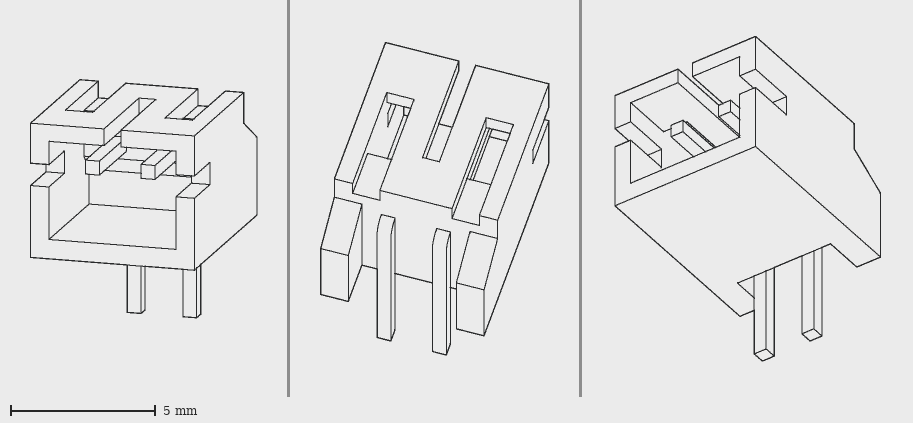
import cadquery as cq

width = 5.9
body_depth = 6.0
total_depth = 7.6
height = 4.805
total_height = 8.2

side_wall = 0.665
floor_thickness = 0.7
roof_thickness = 0.6
cavity_depth = 4.25
undercut_depth = 0.63
undercut_low_z = 1.94
cavity_half_width = width / 2 - side_wall

side_notch_depth = 1.89
side_notch_bottom = 2.575
side_notch_top = 3.37

center_slot_width = 0.61
roof_slot_width = 0.98
roof_slot_start = 2.0

ear_width = 1.0
ear_low_z = 2.79
ear_high_z = 3.7

pin_size = 0.5
pin_pitch = 2.0
pin_tip_y = 0.95
pin_length_below = total_height - height
pin_top_z = side_notch_top
pin_back_y = body_depth + pin_size


def block(x_min, x_max, y_min, y_max, z_min, z_max):
    """Axis-aligned box between two corners."""
    size = (x_max - x_min, y_max - y_min, z_max - z_min)
    return cq.Workplane("XY").box(*size, centered=False).translate((x_min, y_min, z_min))


def make_body():
    """Housing block with two sloped ears behind it."""
    body = block(-width / 2, width / 2, 0, body_depth, 0, height)
    ear = (
        cq.Workplane("YZ")
        .moveTo(body_depth, 0)
        .lineTo(total_depth, 0)
        .lineTo(total_depth, ear_low_z)
        .lineTo(body_depth, ear_high_z)
        .close()
        .extrude(ear_width)
    )
    for x_start in (-width / 2, width / 2 - ear_width):
        body = body.union(ear.translate((x_start, 0, 0)))
    return body


def make_cavity():
    """Front cavity whose lower part reaches further back under a sloped face."""
    undercut_y = cavity_depth + undercut_depth
    return (
        cq.Workplane("YZ")
        .moveTo(0, floor_thickness)
        .lineTo(undercut_y, floor_thickness)
        .lineTo(undercut_y, undercut_low_z)
        .lineTo(cavity_depth, side_notch_bottom)
        .lineTo(cavity_depth, height - roof_thickness)
        .lineTo(0, height - roof_thickness)
        .close()
        .extrude(cavity_half_width, both=True)
    )


def make_roof_slots():
    """Central slot open at the front and two outer slots open at the rear."""
    slot_floor = height - roof_thickness
    half_center = center_slot_width / 2
    slots = block(-half_center, half_center, 0, cavity_depth, slot_floor, height)
    for x_start in (-cavity_half_width, cavity_half_width - roof_slot_width):
        x_end = x_start + roof_slot_width
        slots = slots.union(block(x_start, x_end, roof_slot_start, body_depth, slot_floor, height))
    return slots


def make_pin(x_center):
    """Square pin running backwards, rounded over its elbow and down."""
    return (
        cq.Workplane("YZ")
        .moveTo(pin_tip_y, pin_top_z)
        .lineTo(body_depth, pin_top_z)
        .radiusArc((pin_back_y, pin_top_z - pin_size), pin_size)
        .lineTo(pin_back_y, -pin_length_below)
        .lineTo(body_depth, -pin_length_below)
        .lineTo(body_depth, pin_top_z - pin_size)
        .lineTo(pin_tip_y, pin_top_z - pin_size)
        .close()
        .extrude(pin_size / 2, both=True)
        .translate((x_center, 0, 0))
    )


side_notches = block(-width / 2, width / 2, 0, side_notch_depth, side_notch_bottom, side_notch_top)
result = make_body().cut(make_cavity()).cut(make_roof_slots()).cut(side_notches)
for pin_x in (-pin_pitch / 2, pin_pitch / 2):
    result = result.union(make_pin(pin_x))